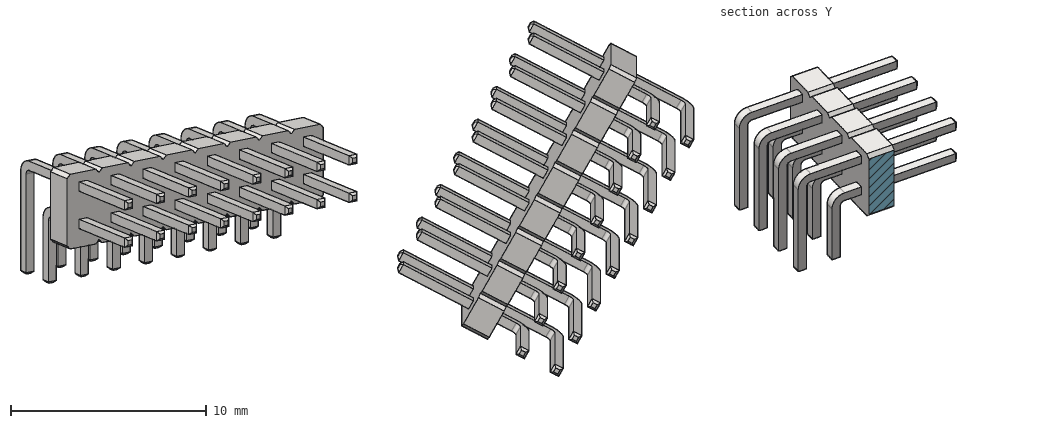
import cadquery as cq

length = 16.0
overall_x = 9.45
overall_z = 6.65
column_count = 8
row_count = 2
pitch = length / column_count

body_height = row_count * pitch
body_thickness = 1.5
body_start_x = 3.75
body_bottom_z = overall_z - body_height
edge_chamfer = pitch / 10

pin_width = pitch / 4
inner_bend_radius = pin_width / 2
outer_bend_radius = inner_bend_radius + pin_width
tip_length = 0.13
tip_end_width = pin_width - 2 * tip_length
upper_row_top_z = overall_z - pin_width


def body_segment():
    """One column of the body; the chamfers of neighbouring segments meet as V-notches."""
    return (
        cq.Workplane("XY")
        .box(body_thickness, pitch, body_height, centered=(False, True, False))
        .edges("|X")
        .chamfer(edge_chamfer)
        .translate((body_start_x, 0, body_bottom_z))
    )


def tapered_tip(end_face):
    """A short pyramid frustum on the square end of a pin."""
    return (
        end_face.workplane(centerOption="CenterOfBoundBox")
        .rect(pin_width, pin_width)
        .workplane(offset=tip_length)
        .rect(tip_end_width, tip_end_width)
        .loft(combine=False)
    )


def bent_pin(tail_x, top_z):
    """An L-shaped pin: tail down at tail_x, contact along X with its upper face at top_z."""
    contact_end_x = overall_x - tip_length
    bend_end_x = tail_x + outer_bend_radius
    bend_start_z = top_z - outer_bend_radius
    shank = (
        cq.Workplane("XZ")
        .moveTo(tail_x, tip_length)
        .lineTo(tail_x, bend_start_z)
        .radiusArc((bend_end_x, top_z), outer_bend_radius)
        .lineTo(contact_end_x, top_z)
        .lineTo(contact_end_x, top_z - pin_width)
        .lineTo(bend_end_x, top_z - pin_width)
        .radiusArc((tail_x + pin_width, bend_start_z), -inner_bend_radius)
        .lineTo(tail_x + pin_width, tip_length)
        .close()
        .extrude(pin_width / 2, both=True)
    )
    tail_tip = tapered_tip(shank.faces("<Z"))
    contact_tip = tapered_tip(shank.faces(">X"))
    return shank.union(tail_tip).union(contact_tip)


column = body_segment()
for row in range(row_count):
    row_shift = row * pitch
    column = column.union(bent_pin(row_shift, upper_row_top_z - row_shift))

first_column_y = (pitch - length) / 2
result = column.translate((0, first_column_y, 0))
for index in range(1, column_count):
    result = result.union(column.translate((0, first_column_y + index * pitch, 0)))